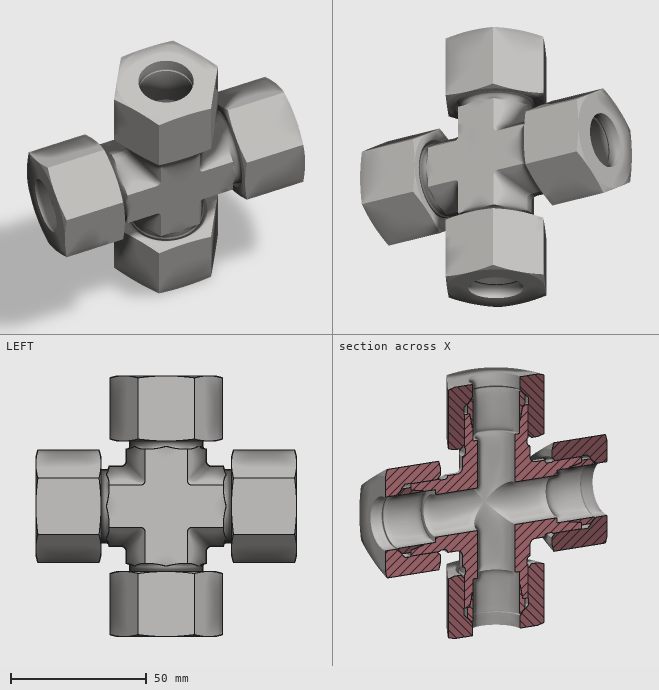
import cadquery as cq
import math


nut_start_station = 24.0

body_across_flats = 27.0
body_corner_span = 29.5
hex_end_station = 21.1
neck_fillet = 1.0
crotch_fillet = 2.0
neck_diameter = body_across_flats
thread_diameter = 27.8
thread_lead_in_half_angle = 45
body_end_station = 37.0
bore_diameter = 16.0
tube_diameter = 20.0
tube_stop_station = 26.4
seat_mouth_diameter = 22.8
seat_half_angle = 12

ring_collar_diameter = 25.0
ring_nose_diameter = 20.5
ring_back_station = 42.5
nut_cone_half_angle = 45

nut_across_flats = 36.0
nut_end_station = 48.0
nut_chamfer_angle = 15
nut_tube_hole_diameter = 20.4
nut_tube_hole_length = 4.8
nut_mouth_diameter = 30.5
nut_cone_end_station = nut_end_station - nut_tube_hole_length

arm_angles = (0, 90, 180, 270)


def corner_diameter(across_flats):
    return across_flats / math.cos(math.radians(30))


def cone_length(large_diameter, small_diameter, half_angle):
    return (large_diameter - small_diameter) / 2 / math.tan(math.radians(half_angle))


def chamfer_length(across_flats, angle):
    """Axial length of an end chamfer that starts at the flats and ends at the corners."""
    overhang = (corner_diameter(across_flats) - across_flats) / 2
    return overhang * math.tan(math.radians(angle))


def revolve_z(profile):
    """Solid of revolution about Z from (diameter, station) points."""
    points = [(diameter / 2, station) for diameter, station in profile]
    return cq.Workplane("XZ").polyline(points).close().revolve(360, (0, 0, 0), (0, 1, 0))


def hexagon_prism(across_flats, start, end):
    """Hexagonal prism along Z with one pair of flats facing -X and +X."""
    return (
        cq.Workplane("XY", origin=(0, 0, start))
        .transformed(rotate=(0, 0, 30))
        .polygon(6, corner_diameter(across_flats))
        .extrude(end - start)
    )


def on_arm(shape, angle):
    """Turn a shape built along +Z onto the arm at the given angle about X."""
    return shape.rotate((0, 0, 0), (1, 0, 0), angle)


seat_root_station = body_end_station - cone_length(seat_mouth_diameter, ring_nose_diameter, seat_half_angle)


def make_arm_envelope():
    """Round limit of one arm: flat end face with a hollow fillet up to the neck."""
    neck_radius = neck_diameter / 2
    outer_radius = corner_diameter(body_across_flats)
    tangent_station = hex_end_station + neck_fillet
    fillet_mid_offset = neck_fillet * (1 - math.sqrt(0.5))
    return (
        cq.Workplane("XZ")
        .lineTo(outer_radius, 0)
        .lineTo(outer_radius, hex_end_station)
        .lineTo(neck_radius + neck_fillet, hex_end_station)
        .threePointArc(
            (neck_radius + fillet_mid_offset, hex_end_station + fillet_mid_offset),
            (neck_radius, tangent_station),
        )
        .lineTo(0, tangent_station)
        .close()
        .revolve(360, (0, 0, 0), (0, 1, 0))
    )


def make_hexagon_bar():
    """Through bar along Z: hexagon with trimmed Y corners and filleted ends."""
    half_length = hex_end_station + neck_fillet
    bar = hexagon_prism(body_across_flats, -half_length, half_length)
    trim = cq.Workplane("XY").box(2 * body_across_flats, body_corner_span, 2 * half_length)
    arm_envelope = make_arm_envelope()
    envelope = arm_envelope.union(on_arm(arm_envelope, 180))
    return bar.intersect(trim).intersect(envelope)


def is_crotch_edge(edge):
    """True for the edges where two neighbouring arms meet in a 45 degree plane."""
    tolerance = 0.001
    ends = (edge.startPoint(), edge.endPoint())
    return all(abs(abs(end.y) - abs(end.z)) < tolerance for end in ends)


def make_spigot():
    """Neck and threaded end of one arm, joined by a conical lead-in."""
    lead_in = cone_length(thread_diameter, neck_diameter, thread_lead_in_half_angle)
    return revolve_z([
        (0, 0),
        (neck_diameter, 0),
        (neck_diameter, nut_start_station),
        (thread_diameter, nut_start_station + lead_in),
        (thread_diameter, body_end_station),
        (0, body_end_station),
    ])


def make_arm_bore():
    """Flow bore, tube socket and conical ring seat of one arm."""
    return revolve_z([
        (0, 0),
        (bore_diameter, 0),
        (bore_diameter, tube_stop_station),
        (tube_diameter, tube_stop_station),
        (tube_diameter, seat_root_station),
        (ring_nose_diameter, seat_root_station),
        (seat_mouth_diameter, body_end_station),
        (0, body_end_station),
    ])


def make_cross_body():
    bar = make_hexagon_bar()
    body = bar.union(on_arm(bar, 90)).clean()
    crotch_edges = [edge for edge in body.edges().vals() if is_crotch_edge(edge)]
    body = body.newObject(crotch_edges).fillet(crotch_fillet)
    for angle in arm_angles:
        body = body.union(on_arm(make_spigot(), angle))
    for angle in arm_angles:
        body = body.cut(on_arm(make_arm_bore(), angle))
    return body


def nut_cone_station(diameter):
    """Station at which the inner nut cone has the given diameter."""
    return nut_cone_end_station - cone_length(diameter, nut_tube_hole_diameter, nut_cone_half_angle)


def make_cutting_ring():
    """Ring that fills the body seat and bears on the inner nut cone."""
    gap_to_cone_end = nut_cone_end_station - ring_back_station
    back_diameter = nut_tube_hole_diameter + 2 * gap_to_cone_end * math.tan(math.radians(nut_cone_half_angle))
    return revolve_z([
        (tube_diameter, seat_root_station),
        (ring_nose_diameter, seat_root_station),
        (seat_mouth_diameter, body_end_station),
        (ring_collar_diameter, body_end_station),
        (ring_collar_diameter, nut_cone_station(ring_collar_diameter)),
        (back_diameter, ring_back_station),
        (tube_diameter, ring_back_station),
    ])


def make_nut():
    blank = hexagon_prism(nut_across_flats, nut_start_station, nut_end_station)
    corner = corner_diameter(nut_across_flats)
    chamfer = chamfer_length(nut_across_flats, nut_chamfer_angle)
    envelope = revolve_z([
        (0, nut_start_station),
        (nut_across_flats, nut_start_station),
        (corner, nut_start_station + chamfer),
        (corner, nut_end_station - chamfer),
        (nut_across_flats, nut_end_station),
        (0, nut_end_station),
    ])
    countersink = (nut_mouth_diameter - thread_diameter) / 2
    cavity = revolve_z([
        (0, nut_start_station),
        (nut_mouth_diameter, nut_start_station),
        (thread_diameter, nut_start_station + countersink),
        (thread_diameter, nut_cone_station(thread_diameter)),
        (nut_tube_hole_diameter, nut_cone_end_station),
        (nut_tube_hole_diameter, nut_end_station),
        (0, nut_end_station),
    ])
    return blank.intersect(envelope).cut(cavity)


cross_body = make_cross_body()
cutting_rings = [on_arm(make_cutting_ring(), angle).val() for angle in arm_angles]
nuts = [on_arm(make_nut(), angle).val() for angle in arm_angles]

result = cq.Compound.makeCompound([cross_body.val(), *cutting_rings, *nuts])